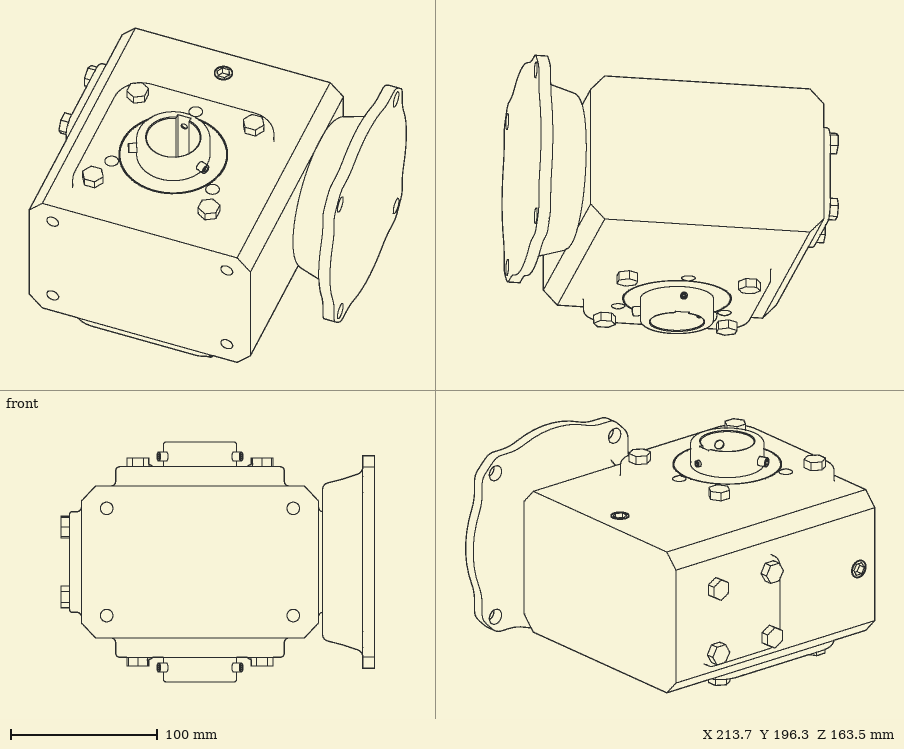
import cadquery as cq
import math

INCH = 25.4

block_length = 161.5
block_bottom = -2.5 * INCH
block_height = 176.1
block_thickness = 103.6
corner_bevel_x = 9.7
corner_bevel_z = 10.3
center_distance = 2.375 * INCH

mount_hole_diameter = 8.5
mount_hole_depth = 15.0
mount_hole_x = 2.5 * INCH
mount_hole_z = 36.5
drill_point_angle = 118.0

plug_diameter = 12.4
plug_ring_width = 0.3
plug_ring_depth = 0.5
plug_socket_across_flats = 8.0
plug_socket_depth = 5.0
top_plug_y = 95.0
side_plug_y = -49.5

bolt_across_flats = 13.0
bolt_head_height = 5.9

cover_width = 115.0
cover_height = 13.2
cover_corner_radius = 20.0
cover_edge_round = 3.175
cover_root_fillet = 3.0
cover_bolt_offset = 42.3
seal_groove_inner_radius = 36.4
seal_groove_width = 0.6
seal_groove_depth = 1.0
rivet_circle_radius = 42.5
rivet_diameter = 9.3
rivet_height = 1.8
rivet_angles = (90, 210, 330)

worm_cover_width = 68.6
worm_cover_height = 8.1
worm_cover_corner_radius = 10.5
worm_cover_edge_round = 2.0
worm_cover_root_fillet = 3.0
worm_bolt_offset = 23.75

shaft_diameter = 50.0
shaft_length = 163.5
shaft_end_round = 2.0
bore_diameter = 1.4375 * INCH
bore_chamfer = 0.6
keyway_width = 9.525
keyway_top = 20.8

screw_end_gap = 9.95
screw_chamfer = 0.3
clamp_screw_diameter = 0.25 * INCH
clamp_screw_tip = 30.6
clamp_screw_angles = (202.5, 337.5)
key_screw_diameter = 4.5
key_screw_tip = 27.1
key_screw_angle = 90
screw_recess = 1.0
screw_socket_ratio = 0.5
screw_socket_depth = 2.5

flange_thickness = 8.2
flange_front_x = 118.93
flange_radius = 72.5
flange_flat_half_width = 64.6
flange_ear_radius = 3.25 * INCH
flange_ear_round = 10.5
flange_blend_radius = 36.0
flange_bolt_circle_radius = 5.875 * INCH / 2
flange_hole_diameter = 10.7
bell_back_x = 83.3
bell_back_radius = 52.85
bell_front_radius = 60.9
bell_round = 5.0

pick_reach = 0.5

half_length = block_length / 2
half_thickness = block_thickness / 2
flange_back_x = flange_front_x - flange_thickness
shaft_half_length = shaft_length / 2
screw_z = shaft_half_length - screw_end_gap


def square_corners(offset):
    """The four corners of a square, counter-clockwise from (+, +), with their quarter turns."""
    signs = ((1, 1), (-1, 1), (-1, -1), (1, -1))
    return [(sx * offset, sy * offset, 90 * i) for i, (sx, sy) in enumerate(signs)]


def hexagon(plane, across_flats, depth, turn=0):
    """Hexagonal prism standing on the plane, its first corner turned from the plane's x axis."""
    corner_diameter = across_flats / math.cos(math.radians(30))
    prism = cq.Workplane("XY").polygon(6, corner_diameter).extrude(depth)
    prism = prism.rotate((0, 0, 0), (0, 0, 1), turn)
    return cq.Workplane("XY").add(prism.val().moved(cq.Location(plane)))


def rounded_pad(width, height, corner_radius, edge_round, root_fillet):
    """Square pad on Z = 0 with rounded corners, a rounded top edge and a flared root."""
    pad = cq.Workplane("XY").rect(width, width).extrude(height)
    pad = pad.edges("|Z").fillet(corner_radius)
    pad = pad.faces(">Z").edges().fillet(edge_round)
    ledge_width = 2 * root_fillet
    base_width = width + 2 * ledge_width
    base = cq.Workplane("XY").rect(base_width, base_width).extrude(-root_fillet)
    flared = pad.union(base)
    ledge = flared.faces("|Z").faces("<Z[1]")
    root_edges = ledge.val().innerWires()[0].Edges()
    return cq.Workplane("XY").add(flared.val().fillet(root_fillet, root_edges)).cut(base)


def with_bolts(pad, offset, face_height):
    """Pad with four hex bolt heads on its face, each turned a quarter from its neighbour."""
    for x, y, turn in square_corners(offset):
        seat = cq.Plane(origin=(x, y, face_height))
        pad = pad.union(hexagon(seat, bolt_across_flats, bolt_head_height, turn))
    return pad


def rivet():
    """Shallow spherical cap standing on Z = 0."""
    radius = rivet_diameter / 2
    sphere_radius = (radius**2 + rivet_height**2) / (2 * rivet_height)
    shoulder_radius = radius / 2
    sphere_center = rivet_height - sphere_radius
    shoulder = (shoulder_radius, sphere_center + math.sqrt(sphere_radius**2 - shoulder_radius**2))
    profile = cq.Workplane("XZ").lineTo(radius, 0).threePointArc(shoulder, (0, rivet_height)).close()
    return profile.revolve(360, (0, 0), (0, 1))


def output_cover():
    """Cover on the +Z face of the housing."""
    cover = rounded_pad(cover_width, cover_height, cover_corner_radius,
                        cover_edge_round, cover_root_fillet)
    cover = with_bolts(cover, cover_bolt_offset, cover_height)
    for angle in rivet_angles:
        cap = rivet().translate((rivet_circle_radius, 0, cover_height))
        cover = cover.union(cap.rotate((0, 0, 0), (0, 0, 1), angle))
    groove = (cq.Workplane("XY", origin=(0, 0, cover_height))
              .circle(seal_groove_inner_radius + seal_groove_width)
              .circle(seal_groove_inner_radius).extrude(-seal_groove_depth))
    return cover.cut(groove).translate((0, 0, half_thickness))


def worm_cover():
    """Cover on the -X face of the housing, centred on the worm axis."""
    cover = rounded_pad(worm_cover_width, worm_cover_height, worm_cover_corner_radius,
                        worm_cover_edge_round, worm_cover_root_fillet)
    cover = with_bolts(cover, worm_bolt_offset, worm_cover_height)
    return cover.rotate((0, 0, 0), (0, 1, 0), -90).translate((-half_length, center_distance, 0))


def housing_block():
    """Bevelled block with the mounting holes in its -Y face."""
    outline = [
        (half_length - corner_bevel_x, half_thickness),
        (half_length, half_thickness - corner_bevel_z),
    ]
    outline += [(x, -z) for x, z in reversed(outline)]
    outline += [(-x, z) for x, z in reversed(outline)]
    block = cq.Workplane("XZ", origin=(0, block_bottom, 0)).polyline(outline).close().extrude(-block_height)

    radius = mount_hole_diameter / 2
    point_depth = radius / math.tan(math.radians(drill_point_angle / 2))
    drill = (cq.Workplane("XY").lineTo(radius, 0).lineTo(radius, mount_hole_depth)
             .lineTo(0, mount_hole_depth + point_depth).close().revolve(360, (0, 0), (0, 1)))
    for x in (-mount_hole_x, mount_hole_x):
        for z in (-mount_hole_z, mount_hole_z):
            block = block.cut(drill.translate((x, block_bottom, z)))
    return block


def plug_cut(plane):
    """Ring outline and hex socket of a plug lying flush with the face; the plane faces inward."""
    outer_radius = plug_diameter / 2
    ring = (cq.Workplane(plane).circle(outer_radius).circle(outer_radius - plug_ring_width)
            .extrude(plug_ring_depth))
    return ring.union(hexagon(plane, plug_socket_across_flats, plug_socket_depth))


def motor_flange():
    """Four-eared flange plate with its bolt holes."""
    plate = cq.Workplane("YZ", origin=(flange_back_x, center_distance, 0))
    disc = plate.circle(flange_radius).extrude(flange_thickness)
    flat_width = 2 * flange_flat_half_width
    ears = plate.rect(flat_width, flat_width).extrude(flange_thickness)
    ears = ears.intersect(plate.circle(flange_ear_radius).extrude(flange_thickness))
    ears = ears.edges("|X").fillet(flange_ear_round)
    flange = ears.union(disc)
    meeting = math.sqrt(flange_radius**2 - flange_flat_half_width**2)
    for flat in (-flange_flat_half_width, flange_flat_half_width):
        for side in (-meeting, meeting):
            for y, z in ((flat, side), (side, flat)):
                corner = cq.selectors.BoxSelector(
                    (flange_back_x, center_distance + y - pick_reach, z - pick_reach),
                    (flange_front_x, center_distance + y + pick_reach, z + pick_reach))
                flange = flange.edges(corner).edges("|X").fillet(flange_blend_radius)
    holes = (plate.polarArray(flange_bolt_circle_radius, 45, 360, 4)
             .circle(flange_hole_diameter / 2).extrude(flange_thickness))
    return flange.cut(holes)


def motor_adapter():
    """Flange plate and the conical bell behind it."""
    bell = (cq.Workplane("XY")
            .moveTo(bell_back_x, 0).lineTo(bell_back_x, bell_back_radius)
            .lineTo(flange_back_x, bell_front_radius).lineTo(flange_back_x, 0).close()
            .revolve(360, (0, 0), (1, 0)).translate((0, center_distance, 0)))
    bell = bell.faces("<X").edges().fillet(bell_round)
    adapter = motor_flange().union(bell)
    root_edge = adapter.edges("%CIRCLE").edges(cq.selectors.BoxSelector(
        (flange_back_x - pick_reach, center_distance - pick_reach, -pick_reach),
        (flange_back_x + pick_reach, center_distance + pick_reach, pick_reach)))
    return root_edge.fillet(bell_round)


def set_screw(diameter, inner, outer, z, angle):
    """Socket set screw lying along a radius of the shaft, chamfered at its outer end."""
    screw = cq.Workplane("YZ", origin=(inner, 0, 0)).circle(diameter / 2).extrude(outer - inner)
    screw = screw.faces(">X").chamfer(screw_chamfer)
    socket_plane = cq.Plane(origin=(outer, 0, 0), xDir=(0, 1, 0), normal=(-1, 0, 0))
    screw = screw.cut(hexagon(socket_plane, diameter * screw_socket_ratio, screw_socket_depth))
    return screw.translate((0, 0, z)).rotate((0, 0, 0), (0, 0, 1), angle)


def screw_hole(diameter, z, angle):
    """Radial hole from the shaft axis out through its wall."""
    hole = cq.Workplane("YZ", origin=(0, 0, z)).circle(diameter / 2).extrude(shaft_diameter / 2)
    return hole.rotate((0, 0, 0), (0, 0, 1), angle)


screw_kinds = [(clamp_screw_diameter, bore_diameter / 2, clamp_screw_tip, a) for a in clamp_screw_angles]
screw_kinds.append((key_screw_diameter, keyway_top, key_screw_tip, key_screw_angle))
set_screws = []
screw_holes = []
for z in (screw_z, -screw_z):
    for diameter, wall, tip, angle in screw_kinds:
        set_screws.append(set_screw(diameter, wall + screw_recess, tip, z, angle))
        screw_holes.append(screw_hole(diameter, z, angle))

housing = housing_block()
cover = output_cover()
housing = housing.union(cover).union(cover.rotate((0, 0, 0), (0, 1, 0), 180))
side_cover = worm_cover()
housing = housing.union(side_cover).union(side_cover.mirror("YZ"))
housing = housing.union(motor_adapter())

top_plug = cq.Plane(origin=(0, top_plug_y, half_thickness), xDir=(1, 0, 0), normal=(0, 0, -1))
side_plug = cq.Plane(origin=(-half_length, side_plug_y, 0), xDir=(0, 1, 0), normal=(1, 0, 0))
housing = housing.cut(plug_cut(top_plug)).cut(plug_cut(side_plug))

shaft_base = cq.Workplane("XY", origin=(0, 0, -shaft_half_length))
shaft = shaft_base.circle(shaft_diameter / 2).extrude(shaft_length)
shaft = shaft.faces("<Z or >Z").edges().fillet(shaft_end_round)
bore = shaft_base.circle(bore_diameter / 2).extrude(shaft_length)
keyway = shaft_base.center(0, keyway_top / 2).rect(keyway_width, keyway_top).extrude(shaft_length)
housing = housing.union(shaft).cut(bore)
housing = housing.faces("<Z or >Z").edges(cq.selectors.RadiusNthSelector(0)).chamfer(bore_chamfer)
housing = housing.cut(keyway)
for hole in screw_holes:
    housing = housing.cut(hole)

result = cq.Compound.makeCompound([housing.val(), *[screw.val() for screw in set_screws]])